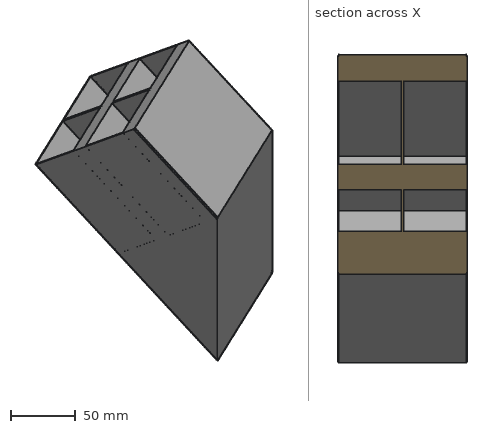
import cadquery as cq
import math

height = 240.5
depth = 155.5
width = 100.0
edge_chamfer = 1.0
side_wall = 1.0
center_wall = 2.0
floor_wall = 1.0
shelf = 14.5
pocket_height = 45.0
pocket_depth = 100.0

slope = 45.0
front_corner_z = depth
apex_x = height - front_corner_z
back_top_z = height - (depth - apex_x)
columns = 2
rows = 2
pocket_width = (width - 2 * side_wall - center_wall) / columns


def make_body():
    """Tilted block with its rear end cut off vertically."""
    outline = [(0, front_corner_z), (apex_x, height), (depth, back_top_z), (depth, 0)]
    block = cq.Workplane("XZ").polyline(outline).close().extrude(width / 2, both=True)
    axis = (math.cos(math.radians(slope)), 0, -math.sin(math.radians(slope)))
    return block.edges(cq.selectors.ParallelDirSelector(cq.Vector(*axis))).chamfer(edge_chamfer)


def make_pocket(column, row):
    """Box entering square to the opening face, counted from -Y and from the lowest row."""
    y = -width / 2 + side_wall + column * (pocket_width + center_wall)
    rise = floor_wall + row * (pocket_height + shelf)
    box = cq.Workplane("XY").box(pocket_depth, pocket_width, pocket_height, centered=False)
    return (
        box.translate((0, y, rise))
        .rotate((0, 0, 0), (0, 1, 0), slope)
        .translate((0, 0, front_corner_z))
    )


result = make_body()
for column in range(columns):
    for row in range(rows):
        result = result.cut(make_pocket(column, row))